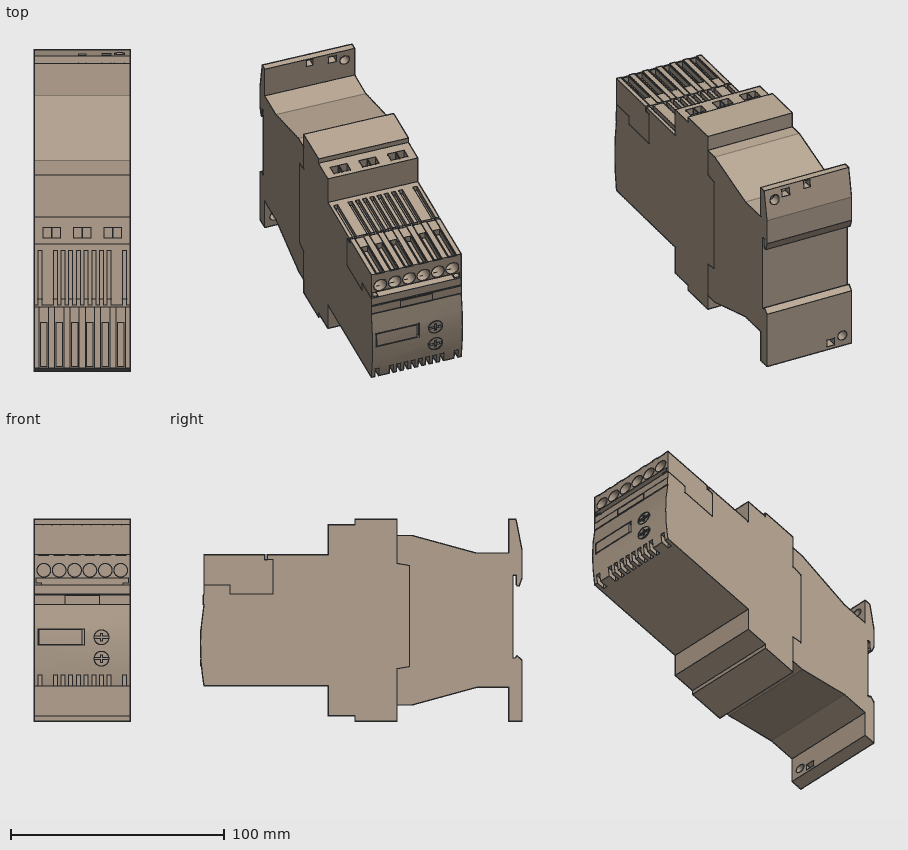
import cadquery as cq


WIDTH = 45.0
HEIGHT = 94.8
TOTAL_DEPTH = 150.81
HALF_WIDTH = WIDTH / 2
HALF_HEIGHT = HEIGHT / 2

FLANGE_THICKNESS = 6.4
FLANGE_SLOPE_START_Z = 32.7
FLANGE_TOP_SETBACK = 2.9
WAIST_HALF_HEIGHT = 31.5
WAIST_END_DEPTH = 21.4
NECK_HALF_HEIGHT = 39.8
NECK_START_DEPTH = 51.8
RAIL_SEAT_DEPTH = 4.3
RAIL_TOP_Z = 21.0
RAIL_BOTTOM_Z = -17.6
CATCH_SHOULDER_Z = -18.7
CATCH_PEAK_Z = -16.5
CATCH_PEAK_DEPTH = 2.5
CATCH_INNER_DEPTH = 3.3
HOOK_INNER_DEPTH = 2.9
HOOK_TIP_CHAMFER_Z = 17.0
HOOK_TIP_Z = 16.0
HOOK_TIP_INNER_DEPTH = 2.4
HOOK_TIP_OUTER_DEPTH = 1.4
HOOK_TAPER_START_Z = 20.0
FIXING_HOLE_DIAMETER = 4.8
FIXING_HOLE_X = 17.5
FIXING_HOLE_Z = 41.8
SQUARE_HOLE_HEIGHT = 3.6
SIDE_SQUARE_X = 11.4
SIDE_SQUARE_WIDTH = 4.1
SIDE_SQUARE_Z = 43.9
MIDDLE_SQUARE_WIDTH = 3.4
MIDDLE_SQUARE_Z = 45.0

JOINT_DEPTH = 58.6
TONGUE_DEPTH = 52.7
TONGUE_ROOT_TOP_Z = 26.6
TONGUE_TIP_TOP_Z = 25.6
TONGUE_ROOT_BOTTOM_Z = -22.7
TONGUE_TIP_BOTTOM_Z = -21.7

COLLAR_STEP_DEPTH = 78.4
COLLAR_END_DEPTH = 90.9
SHOULDER_HALF_HEIGHT = 44.8
NOSE_HALF_HEIGHT = 30.7
FRONT_DEPTH = 149.1
BULGE_DEPTH = 150.7
BULGE_TOP_Z = 7.3
STRIP_TOP_Z = 12.3
STRIP_RISE = 0.3
STRIP_BEVEL = 0.4

GAP_START_DEPTH = 119.5
GAP_END_DEPTH = 120.5
GAP_FLOOR_Z = 28.4
TERMINAL_REAR_DEPTH = 116.8
TERMINAL_STEP_DEPTH = 136.8
TERMINAL_LOW_Z = 12.3
TERMINAL_FRONT_LOW_Z = 16.6
TERMINAL_COUNT = 6
TERMINAL_PITCH = 7.2
CHANNEL_WIDTH = 4.3
CHANNEL_DEPTH = 0.35
SLOT_WIDTH = 3.1
SLOT_START_DEPTH = 127.7
SLOT_END_DEPTH = 148.4
SLOT_FLOOR_Z = 27.3
SCREW_HOLE_DIAMETER = 6.4
SCREW_HOLE_LENGTH = 12.0
SCREW_HOLE_Z = 23.4
WINDOW_HALF_WIDTH = 21.7
WINDOW_HEIGHT = 3.2
WINDOW_LENGTH = 4.0
WINDOW_LIP_WIDTH = 2.5
WINDOW_LIP_HEIGHT = 0.9

VENT_WIDTH = 1.9
VENT_PITCH = 3.6
VENT_COUNT = 8
OUTER_VENT_X = 5.5 * VENT_PITCH
TOP_VENT_START_DEPTH = 94.1
FRONT_VENT_HEIGHT = 5.1
FRONT_VENT_LENGTH = 4.5

ENTRY_COUNT = 3
ENTRY_PITCH = 14.3
ENTRY_POCKET_WIDTH = 4.0
ENTRY_WALL = 0.3
ENTRY_START_DEPTH = 83.2
ENTRY_LENGTH = 5.0
ENTRY_POCKET_DEPTH = 6.0

DIAL_X = 9.0
DIAL_ZS = (-8.0, -18.0)
DIAL_DIAMETER = 6.9
CROSS_SLOT_WIDTH = 1.0
CROSS_SLOT_HEIGHT = 3.6
CROSS_SLOT_DEPTH = 1.0
COVER_LEFT_X = -20.7
COVER_RIGHT_X = 1.1
COVER_TOP_Z = -4.0
COVER_BOTTOM_Z = -11.7
COVER_GAP = 0.35
COVER_GRIP_GAP = 1.3
COVER_GROOVE_FLOOR_DEPTH = 149.0
LABEL_WIDTH = 16.0
LABEL_HEIGHT = 4.2
LABEL_RISE = 0.2


def centred_positions(count, pitch):
    """Evenly spaced positions that are symmetric about zero."""
    return [(i - (count - 1) / 2) * pitch for i in range(count)]


def block(x_range, depth_range, z_range):
    """Box between two X values, two depths from the rear face and two heights."""
    size = [abs(r[1] - r[0]) for r in (x_range, depth_range, z_range)]
    corner = (min(x_range), -max(depth_range), min(z_range))
    return cq.Workplane("XY").box(*size, centered=False).translate(corner)


def strip(x, width, depth_range, z_range):
    """Box centred on an X position."""
    return block((x - width / 2, x + width / 2), depth_range, z_range)


def round_bar(x, z, diameter, depth_range):
    """Cylinder along Y between two depths."""
    bar = cq.Workplane("XZ", origin=(x, -depth_range[0], z)).circle(diameter / 2)
    return bar.extrude(depth_range[1] - depth_range[0])


def across_width(points):
    """Full-width prism on an outline of (depth, z) points."""
    outline = [(-depth, z) for depth, z in points]
    return cq.Workplane("YZ").polyline(outline).close().extrude(HALF_WIDTH, both=True)


def make_base():
    base = across_width([
        (FLANGE_TOP_SETBACK, HALF_HEIGHT),
        (FLANGE_THICKNESS, HALF_HEIGHT),
        (FLANGE_THICKNESS, WAIST_HALF_HEIGHT),
        (WAIST_END_DEPTH, WAIST_HALF_HEIGHT),
        (NECK_START_DEPTH, NECK_HALF_HEIGHT),
        (JOINT_DEPTH, NECK_HALF_HEIGHT),
        (JOINT_DEPTH, TONGUE_ROOT_TOP_Z),
        (TONGUE_DEPTH, TONGUE_TIP_TOP_Z),
        (TONGUE_DEPTH, TONGUE_TIP_BOTTOM_Z),
        (JOINT_DEPTH, TONGUE_ROOT_BOTTOM_Z),
        (JOINT_DEPTH, -NECK_HALF_HEIGHT),
        (NECK_START_DEPTH, -NECK_HALF_HEIGHT),
        (WAIST_END_DEPTH, -WAIST_HALF_HEIGHT),
        (FLANGE_THICKNESS, -WAIST_HALF_HEIGHT),
        (FLANGE_THICKNESS, -HALF_HEIGHT),
        (0, -HALF_HEIGHT),
        (0, CATCH_SHOULDER_Z),
        (CATCH_PEAK_DEPTH, CATCH_PEAK_Z),
        (CATCH_INNER_DEPTH, RAIL_BOTTOM_Z),
        (RAIL_SEAT_DEPTH, RAIL_BOTTOM_Z),
        (RAIL_SEAT_DEPTH, RAIL_TOP_Z),
        (HOOK_INNER_DEPTH, RAIL_TOP_Z),
        (HOOK_INNER_DEPTH, HOOK_TIP_CHAMFER_Z),
        (HOOK_TIP_INNER_DEPTH, HOOK_TIP_Z),
        (HOOK_TIP_OUTER_DEPTH, HOOK_TIP_Z),
        (0, HOOK_TAPER_START_Z),
        (0, FLANGE_SLOPE_START_Z),
    ])
    through = (0, FLANGE_THICKNESS)
    for side in (1, -1):
        fixing_hole = round_bar(side * FIXING_HOLE_X, side * FIXING_HOLE_Z, FIXING_HOLE_DIAMETER, through)
        base = base.cut(fixing_hole)
        base = base.cut(square_hole(side * SIDE_SQUARE_X, side * SIDE_SQUARE_Z, SIDE_SQUARE_WIDTH))
    return base.cut(square_hole(0, MIDDLE_SQUARE_Z, MIDDLE_SQUARE_WIDTH))


def square_hole(x, z, width):
    z_range = (z - SQUARE_HOLE_HEIGHT / 2, z + SQUARE_HOLE_HEIGHT / 2)
    return strip(x, width, (0, FLANGE_THICKNESS), z_range)


def housing_body():
    strip_depth = FRONT_DEPTH + STRIP_RISE
    tongue_top = [
        (TONGUE_DEPTH, TONGUE_TIP_TOP_Z),
        (JOINT_DEPTH, TONGUE_ROOT_TOP_Z),
    ]
    tongue_bottom = [
        (JOINT_DEPTH, TONGUE_ROOT_BOTTOM_Z),
        (TONGUE_DEPTH, TONGUE_TIP_BOTTOM_Z),
    ]
    upper_outline = [
        (JOINT_DEPTH, HALF_HEIGHT),
        (COLLAR_STEP_DEPTH, HALF_HEIGHT),
        (COLLAR_STEP_DEPTH, SHOULDER_HALF_HEIGHT),
        (COLLAR_END_DEPTH, SHOULDER_HALF_HEIGHT),
        (COLLAR_END_DEPTH, NOSE_HALF_HEIGHT),
    ]
    terminal_seat = [
        (GAP_START_DEPTH, NOSE_HALF_HEIGHT),
        (GAP_START_DEPTH, GAP_FLOOR_Z),
        (TERMINAL_REAR_DEPTH, GAP_FLOOR_Z),
        (TERMINAL_REAR_DEPTH, TERMINAL_LOW_Z),
        (TERMINAL_STEP_DEPTH, TERMINAL_LOW_Z),
        (TERMINAL_STEP_DEPTH, TERMINAL_FRONT_LOW_Z),
    ]
    front_strip = [
        (FRONT_DEPTH, TERMINAL_FRONT_LOW_Z),
        (FRONT_DEPTH, STRIP_TOP_Z),
        (strip_depth, STRIP_TOP_Z - STRIP_BEVEL),
        (strip_depth, BULGE_TOP_Z),
        (FRONT_DEPTH, BULGE_TOP_Z),
    ]
    lower_outline = [(depth, -z) for depth, z in reversed(upper_outline)]
    bulge_middle = (-BULGE_DEPTH, (BULGE_TOP_Z - NOSE_HALF_HEIGHT) / 2)
    bulge_end = (-FRONT_DEPTH, -NOSE_HALF_HEIGHT)

    to_bulge = [(-depth, z) for depth, z in tongue_top + upper_outline + terminal_seat + front_strip]
    from_bulge = [(-depth, z) for depth, z in lower_outline + tongue_bottom]
    outline = cq.Workplane("YZ").polyline(to_bulge).threePointArc(bulge_middle, bulge_end)
    for point in from_bulge:
        outline = outline.lineTo(*point)
    return outline.close().extrude(HALF_WIDTH, both=True)


def cut_vents(body):
    xs = centred_positions(VENT_COUNT, VENT_PITCH) + [-OUTER_VENT_X, OUTER_VENT_X]
    front_vent_top = -NOSE_HALF_HEIGHT + FRONT_VENT_HEIGHT
    for x in xs:
        body = body.cut(strip(x, VENT_WIDTH, (TOP_VENT_START_DEPTH, GAP_START_DEPTH),
                              (GAP_FLOOR_Z, NOSE_HALF_HEIGHT)))
        body = body.cut(strip(x, VENT_WIDTH, (FRONT_DEPTH - FRONT_VENT_LENGTH, TOTAL_DEPTH),
                              (-NOSE_HALF_HEIGHT, front_vent_top)))
    return body


def cut_wire_entries(body):
    depth_range = (ENTRY_START_DEPTH, ENTRY_START_DEPTH + ENTRY_LENGTH)
    z_range = (SHOULDER_HALF_HEIGHT - ENTRY_POCKET_DEPTH, SHOULDER_HALF_HEIGHT)
    for middle in centred_positions(ENTRY_COUNT, ENTRY_PITCH):
        for offset in centred_positions(2, ENTRY_POCKET_WIDTH + ENTRY_WALL):
            body = body.cut(strip(middle + offset, ENTRY_POCKET_WIDTH, depth_range, z_range))
    return body


def add_dials(body):
    slot_range = (TOTAL_DEPTH - CROSS_SLOT_DEPTH, TOTAL_DEPTH)
    for z in DIAL_ZS:
        dial = round_bar(DIAL_X, z, DIAL_DIAMETER, (FRONT_DEPTH, TOTAL_DEPTH))
        half_width = CROSS_SLOT_WIDTH / 2
        half_height = CROSS_SLOT_HEIGHT / 2
        level_slot = strip(DIAL_X, DIAL_DIAMETER, slot_range, (z - half_width, z + half_width))
        upright_slot = strip(DIAL_X, CROSS_SLOT_WIDTH, slot_range, (z - half_height, z + half_height))
        body = body.union(dial).cut(level_slot).cut(upright_slot)
    return body


def cut_cover_groove(body):
    """Groove around the flush cover, wider at its right end as a finger grip."""
    depth_range = (COVER_GROOVE_FLOOR_DEPTH, TOTAL_DEPTH)
    opening = block((COVER_LEFT_X, COVER_RIGHT_X), depth_range, (COVER_BOTTOM_Z, COVER_TOP_Z))
    cover = block((COVER_LEFT_X + COVER_GAP, COVER_RIGHT_X - COVER_GRIP_GAP), depth_range,
                  (COVER_BOTTOM_Z + COVER_GAP, COVER_TOP_Z - COVER_GAP))
    return body.cut(opening.cut(cover))


def add_label(body):
    label_depth = FRONT_DEPTH + STRIP_RISE + LABEL_RISE
    label = strip(0, LABEL_WIDTH, (FRONT_DEPTH, label_depth), (BULGE_TOP_Z, BULGE_TOP_Z + LABEL_HEIGHT))
    return body.union(label)


def make_housing():
    body = housing_body()
    body = cut_vents(body)
    body = cut_wire_entries(body)
    body = cut_cover_groove(body)
    body = add_dials(body)
    return add_label(body)


def make_terminal_block():
    body = across_width([
        (TERMINAL_REAR_DEPTH, GAP_FLOOR_Z),
        (GAP_END_DEPTH, GAP_FLOOR_Z),
        (GAP_END_DEPTH, NOSE_HALF_HEIGHT),
        (FRONT_DEPTH, NOSE_HALF_HEIGHT),
        (FRONT_DEPTH, TERMINAL_FRONT_LOW_Z),
        (TERMINAL_STEP_DEPTH, TERMINAL_FRONT_LOW_Z),
        (TERMINAL_STEP_DEPTH, TERMINAL_LOW_Z),
        (TERMINAL_REAR_DEPTH, TERMINAL_LOW_Z),
    ])
    for x in centred_positions(TERMINAL_COUNT, TERMINAL_PITCH):
        body = body.cut(strip(x, CHANNEL_WIDTH, (GAP_END_DEPTH, FRONT_DEPTH),
                              (NOSE_HALF_HEIGHT - CHANNEL_DEPTH, NOSE_HALF_HEIGHT)))
        body = body.cut(strip(x, SLOT_WIDTH, (SLOT_START_DEPTH, SLOT_END_DEPTH),
                              (SLOT_FLOOR_Z, NOSE_HALF_HEIGHT)))
        body = body.cut(round_bar(x, SCREW_HOLE_Z, SCREW_HOLE_DIAMETER,
                                  (FRONT_DEPTH - SCREW_HOLE_LENGTH, FRONT_DEPTH)))
    return body.cut(front_window())


def front_window():
    """Low opening under the screw holes, with a small lip left in each lower corner."""
    depth_range = (FRONT_DEPTH - WINDOW_LENGTH, FRONT_DEPTH)
    lip_top = TERMINAL_FRONT_LOW_Z + WINDOW_LIP_HEIGHT
    window_top = TERMINAL_FRONT_LOW_Z + WINDOW_HEIGHT
    upper = strip(0, 2 * WINDOW_HALF_WIDTH, depth_range, (lip_top, window_top))
    lower_width = 2 * (WINDOW_HALF_WIDTH - WINDOW_LIP_WIDTH)
    lower = strip(0, lower_width, depth_range, (TERMINAL_FRONT_LOW_Z, lip_top))
    return upper.union(lower)


base = make_base()
housing = make_housing()
terminal_block = make_terminal_block()

result = cq.Compound.makeCompound([base.val(), housing.val(), terminal_block.val()])